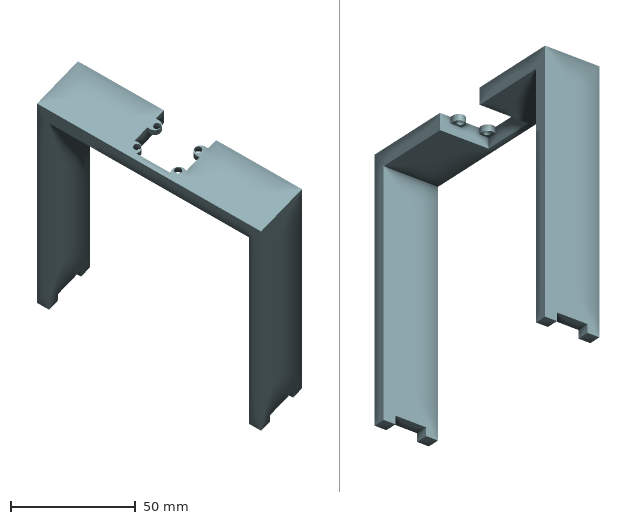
import cadquery as cq

frame_width = 112.0
frame_depth = 27.5
frame_height = 125.2
leg_thickness = 6.0
beam_height = 8.0

toe_depth = 6.0
foot_notch_height = 4.0

opening_width = 26.0
rail_thickness = 2.9

boss_height = 3.0
hole_diameter = 3.3
hole_to_wall = 2.8
hole_to_rail = 2.9
hole_spacing_y = 13.5

back_boss_radius = 2.9
back_boss_offset = 1.19
corner_boss_radius = 3.4
corner_boss_offset = 1.1

half_width = frame_width / 2
half_depth = frame_depth / 2
half_opening = opening_width / 2
beam_bottom = frame_height - beam_height
boss_bottom = frame_height - boss_height
rail_back_y = rail_thickness - half_depth
hole_x = half_opening - hole_to_wall
front_hole_y = rail_back_y + hole_to_rail
back_hole_y = front_hole_y + hole_spacing_y


def box(x_limits, y_limits, z_limits):
    """Axis-aligned block between the (low, high) limits along each axis."""
    lows, highs = zip(x_limits, y_limits, z_limits)
    sizes = [high - low for low, high in zip(lows, highs)]
    return cq.Workplane("XY").box(*sizes, centered=False).translate(lows)


def post(x, y, radius):
    """Round post over the height of a boss."""
    return cq.Workplane("XY", origin=(x, y, boss_bottom)).circle(radius).extrude(boss_height)


def make_frame():
    """Beam and legs, with the foot notches and the opening in the beam."""
    full_x = (-half_width, half_width)
    full_y = (-half_depth, half_depth)
    frame = box(full_x, full_y, (0, frame_height))

    portal_half_width = half_width - leg_thickness
    portal = box((-portal_half_width, portal_half_width), full_y, (0, beam_bottom))

    notch_half_depth = half_depth - toe_depth
    foot_notch = box(full_x, (-notch_half_depth, notch_half_depth), (0, foot_notch_height))

    opening = box(
        (-half_opening, half_opening), (rail_back_y, half_depth), (beam_bottom, frame_height)
    )
    return frame.cut(portal).cut(foot_notch).cut(opening)


def make_back_boss():
    """Right-hand round-nosed boss whose straight flanks run into the side wall."""
    nose_x = hole_x + back_boss_offset
    nose = post(nose_x, back_hole_y, back_boss_radius)
    flanks = box(
        (nose_x, half_opening),
        (back_hole_y - back_boss_radius, back_hole_y + back_boss_radius),
        (boss_bottom, frame_height),
    )
    return nose.union(flanks)


def make_corner_boss():
    """Right-hand round boss set into the corner between the side wall and the rail."""
    return post(hole_x + corner_boss_offset, front_hole_y - corner_boss_offset, corner_boss_radius)


right_bosses = make_back_boss().union(make_corner_boss())
left_bosses = right_bosses.mirror("YZ")
result = make_frame().union(right_bosses).union(left_bosses)

for x in (-hole_x, hole_x):
    for y in (front_hole_y, back_hole_y):
        result = result.cut(post(x, y, hole_diameter / 2))